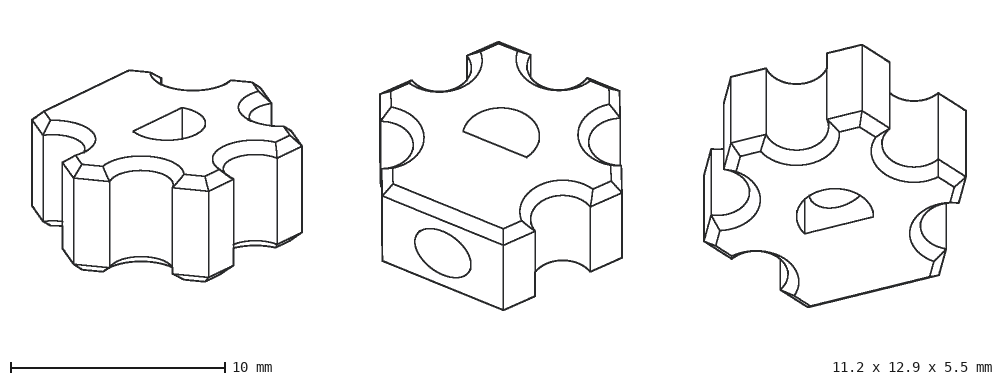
import cadquery as cq
import math

corner_diameter = 12.93
height = 5.5
edge_chamfer = 0.5

grip_diameter = 3.0
grip_angles = (0, 60, 120, 240, 300)

bore_diameter = 3.6
bore_flat_offset = 0.6

screw_diameter = 3.0

side_distance = corner_diameter / 2 * math.cos(math.radians(30))


def grip_centre(angle):
    """Middle of the hexagon side that faces the given angle in degrees."""
    turn = math.radians(angle)
    return (side_distance * math.cos(turn), side_distance * math.sin(turn))


def make_body():
    """Hexagonal prism with grips, chamfered all round at both ends."""
    hexagon = cq.Workplane("XY").polygon(6, corner_diameter).extrude(height / 2, both=True)
    hexagon = hexagon.rotate((0, 0, 0), (0, 0, 1), 30)
    grips = (
        cq.Workplane("XY")
        .pushPoints([grip_centre(angle) for angle in grip_angles])
        .circle(grip_diameter / 2)
        .extrude(height / 2, both=True)
    )
    return hexagon.cut(grips).faces("<Z or >Z").edges().chamfer(edge_chamfer)


def make_bore():
    """Through bore whose -X side is cut off by a flat."""
    radius = bore_diameter / 2
    half_flat = math.sqrt(radius**2 - bore_flat_offset**2)
    return (
        cq.Workplane("XY")
        .moveTo(-bore_flat_offset, -half_flat)
        .threePointArc((radius, 0), (-bore_flat_offset, half_flat))
        .close()
        .extrude(height / 2, both=True)
    )


def make_screw_hole():
    """Cylinder along X from the flat side to the flat of the bore."""
    return (
        cq.Workplane("YZ", origin=(-side_distance, 0, 0))
        .circle(screw_diameter / 2)
        .extrude(side_distance - bore_flat_offset)
    )


result = make_body().cut(make_bore()).cut(make_screw_hole())